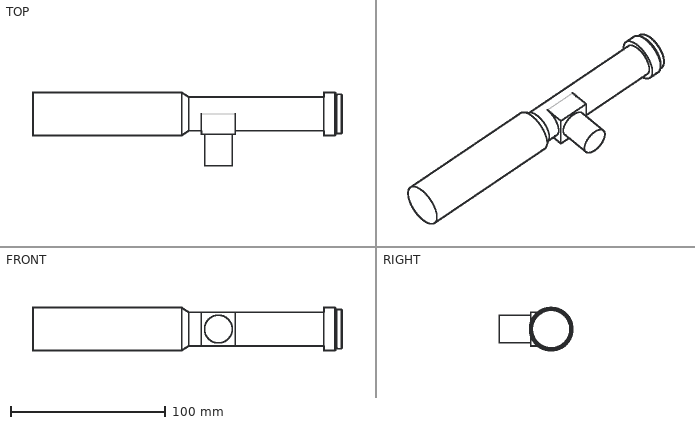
import cadquery as cq

total_length = 200.2
handle_radius = 14.0
handle_length = 96.3
taper_length = 4.6
tube_radius = 11.0

collar_radius = handle_radius
collar_start = 188.4
collar_end = 196.2
collar_chamfer = 0.6
tip_radius = 12.8
tip_chamfer = 0.6
groove_width = 0.6
groove_depth = 0.6

branch_x = 120.1
block_width = 2 * tube_radius
block_reach = 13.2
stub_radius = 9.0
branch_reach = 33.6


def make_body():
    """Revolve the half profile of the handle, tube, collar, groove and tip."""
    profile = [
        (0, 0),
        (0, handle_radius),
        (handle_length, handle_radius),
        (handle_length + taper_length, tube_radius),
        (collar_start, tube_radius),
        (collar_start, collar_radius),
        (collar_end - collar_chamfer, collar_radius),
        (collar_end, collar_radius - collar_chamfer),
        (collar_end, tip_radius - groove_depth),
        (collar_end + groove_width, tip_radius - groove_depth),
        (collar_end + groove_width, tip_radius),
        (total_length - tip_chamfer, tip_radius),
        (total_length, tip_radius - tip_chamfer),
        (total_length, 0),
    ]
    return cq.Workplane("XY").polyline(profile).close().revolve(360, (0, 0, 0), (1, 0, 0))


def make_branch():
    """Square block from the tube axis outward, carrying a round stub."""
    base = cq.Workplane("XZ", origin=(branch_x, 0, 0))
    block = base.rect(block_width, block_width).extrude(block_reach)
    stub = base.circle(stub_radius).extrude(branch_reach)
    return block.union(stub)


result = make_body().union(make_branch())